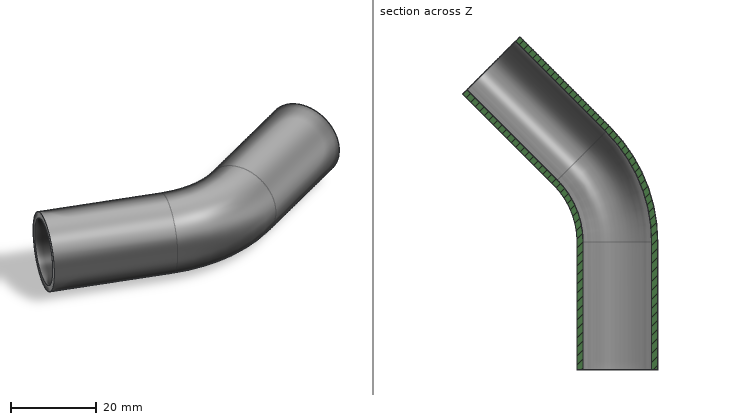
import cadquery as cq
import math

outer_diameter = 19.05
wall_thickness = 1.5
straight_length = 30.0
bend_angle = 45.0
bend_radius = 1.5 * outer_diameter

inner_diameter = outer_diameter - 2 * wall_thickness


def tube_centreline():
    """Straight leg along +Y, an arc turning toward -X, then a second straight leg."""
    angle = math.radians(bend_angle)

    def point_on_bend(turned):
        x = -bend_radius * (1 - math.cos(turned))
        y = straight_length + bend_radius * math.sin(turned)
        return x, y

    bend_start = point_on_bend(0)
    bend_middle = point_on_bend(angle / 2)
    bend_end = point_on_bend(angle)
    tube_end = (
        bend_end[0] - straight_length * math.sin(angle),
        bend_end[1] + straight_length * math.cos(angle),
    )
    return (
        cq.Workplane("XY")
        .lineTo(*bend_start)
        .threePointArc(bend_middle, bend_end)
        .lineTo(*tube_end)
    )


def bent_tube():
    """Sweep the ring-shaped tube section along the centreline."""
    section = (
        cq.Workplane("XZ")
        .circle(outer_diameter / 2)
        .circle(inner_diameter / 2)
    )
    return section.sweep(tube_centreline())


result = bent_tube()